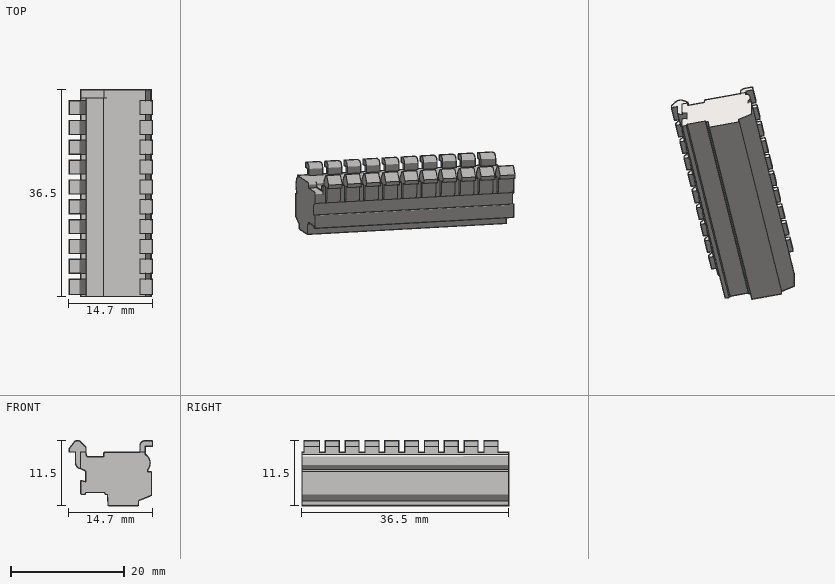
import cadquery as cq

length = 36.5
width = 14.7
height = 11.5

housing_left = 2.0
housing_right = 14.55
deck_z = 9.45
neck_x = 13.45

trough_z = 8.67
trough_left = 3.1
trough_right = 6.06
lip_right = 2.95

keel_top_left = 6.72
keel_bottom_left = 6.85
keel_right = 12.23
keel_shoulder_z = 0.87
side_bottom_z = 1.83

groove_x = 2.88
groove_outer_top_z = 6.53
groove_inner_top_z = 6.14
groove_outer_bottom_z = 4.48
groove_inner_bottom_z = 4.27

foot_z = 1.97
underside_z = 2.32
foot_right = 2.77
underside_left = 2.95
underside_right = 6.22
keel_foot_left = 6.36

bulge_top_z = 9.05
bulge_mid = (14.3, 7.6)
bulge_end = (13.88, 6.36)
ledge_z = 6.03

small_round = 0.17
edge_round = 0.25
foot_round = 0.35
trough_base_round = 0.15

rear_cut_length = 1.45
rear_floor_z = 8.52
rear_trough_right = 6.12
rear_round = 0.43

tooth_count = 10
tooth_pitch = 3.5
tooth_length = 2.5
front_tooth_length = 2.75
rear_margin = 1.9

latch_right = 3.0
latch_arm_left = 1.1
latch_arm_round_z = 7.57
latch_arm_mid = (1.33, 6.9)
latch_left_z = 10.1
latch_right_z = 10.32
latch_crown_left = (0.86, 11.22)
latch_crown_left_mid = (1.03, 11.4)
latch_flat_left = 1.3
latch_flat_right = 1.58
latch_crown_right_mid = (1.81, 11.44)
latch_crown_right = (2.0, 11.3)

hook_thickness = 1.0
hook_left = neck_x - hook_thickness
hook_under_z = height - hook_thickness
hook_outer_round = 0.95
hook_tip_round = 0.25


def section():
    """Sketch plane for sections: local coordinates are X and Z."""
    return cq.Workplane("XZ")


def round_corners(solid, y_middle, corners):
    """Round edges that run along Y; each corner is ((x, z), radius)."""
    for (x, z), radius in corners:
        nearest = cq.selectors.NearestToPointSelector((x, y_middle, z))
        solid = solid.edges("|Y").edges(nearest).fillet(radius)
    return solid


def make_housing():
    outline = (
        section()
        .moveTo(keel_bottom_left, 0)
        .lineTo(keel_right, 0)
        .lineTo(keel_right, keel_shoulder_z)
        .lineTo(housing_right, side_bottom_z)
        .lineTo(housing_right, ledge_z)
        .lineTo(bulge_end[0], ledge_z)
        .lineTo(*bulge_end)
        .threePointArc(bulge_mid, (neck_x, bulge_top_z))
        .lineTo(neck_x, deck_z)
        .lineTo(trough_right, deck_z)
        .lineTo(trough_right, trough_z)
        .lineTo(trough_left, trough_z)
        .lineTo(lip_right, deck_z)
        .lineTo(housing_left, deck_z)
        .lineTo(housing_left, groove_outer_top_z)
        .lineTo(groove_x, groove_inner_top_z)
        .lineTo(groove_x, groove_inner_bottom_z)
        .lineTo(housing_left, groove_outer_bottom_z)
        .lineTo(housing_left, foot_z)
        .lineTo(foot_right, foot_z)
        .lineTo(underside_left, underside_z)
        .lineTo(underside_right, underside_z)
        .lineTo(keel_foot_left, foot_z)
        .lineTo(keel_top_left, foot_z)
        .close()
    )
    housing = outline.extrude(-length)
    corners = [
        ((keel_bottom_left, 0), small_round),
        ((keel_right, 0), small_round),
        ((housing_right, side_bottom_z), edge_round),
        ((housing_right, ledge_z), edge_round),
        ((trough_right, deck_z), edge_round),
        ((trough_right, trough_z), trough_base_round),
        ((trough_left, trough_z), trough_base_round),
        ((groove_x, groove_inner_top_z), small_round),
        ((housing_left, groove_outer_bottom_z), small_round),
        ((housing_left, foot_z), foot_round),
    ]
    return round_corners(housing, length / 2, corners)


def make_rear_cut():
    """Opens the rear end of the trough to the left, leaving rounded upper edges."""
    return (
        section()
        .workplane(offset=-(length - rear_cut_length))
        .moveTo(housing_left, rear_floor_z - rear_round)
        .radiusArc((housing_left + rear_round, rear_floor_z), rear_round)
        .lineTo(rear_trough_right, rear_floor_z)
        .lineTo(rear_trough_right, deck_z - rear_round)
        .radiusArc((rear_trough_right + rear_round, deck_z), rear_round)
        .lineTo(housing_left, deck_z)
        .close()
        .extrude(-rear_cut_length)
    )


def make_latch(y_start, y_length):
    return (
        section()
        .workplane(offset=-y_start)
        .moveTo(0, deck_z)
        .lineTo(0, latch_left_z)
        .lineTo(*latch_crown_left)
        .threePointArc(latch_crown_left_mid, (latch_flat_left, height))
        .lineTo(latch_flat_right, height)
        .threePointArc(latch_crown_right_mid, latch_crown_right)
        .lineTo(latch_right, latch_right_z)
        .lineTo(latch_right, deck_z)
        .lineTo(housing_left, deck_z)
        .lineTo(housing_left, groove_outer_top_z)
        .threePointArc(latch_arm_mid, (latch_arm_left, latch_arm_round_z))
        .lineTo(latch_arm_left, deck_z)
        .close()
        .extrude(-y_length)
    )


def make_hook(y_start, y_length):
    hook = (
        section()
        .workplane(offset=-y_start)
        .moveTo(hook_left, deck_z)
        .lineTo(hook_left, height)
        .lineTo(width, height)
        .lineTo(width, hook_under_z)
        .lineTo(neck_x, hook_under_z)
        .lineTo(neck_x, deck_z)
        .close()
        .extrude(-y_length)
    )
    corners = [
        ((hook_left, height), hook_outer_round),
        ((width, height), hook_tip_round),
    ]
    return round_corners(hook, y_start + y_length / 2, corners)


result = make_housing().cut(make_rear_cut())
for index in range(tooth_count):
    is_front_tooth = index == tooth_count - 1
    y_length = front_tooth_length if is_front_tooth else tooth_length
    y_start = length - rear_margin - index * tooth_pitch - y_length
    result = result.union(make_latch(y_start, y_length))
    result = result.union(make_hook(y_start, y_length))